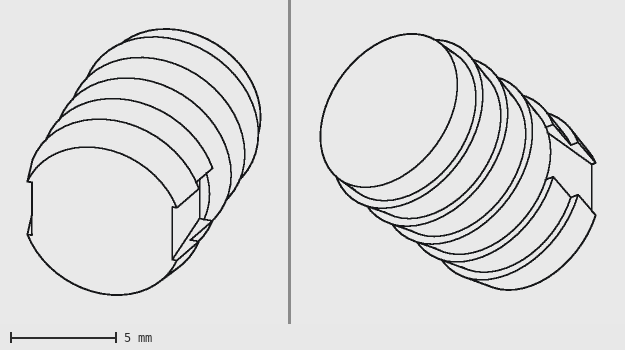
import cadquery as cq

length = 11.5
crest_diameter = 8.8
root_diameter = 8.0

barb_count = 5
barb_pitch = 2.0

notched_barbs = 2
notch_height = 2.9
width_across_notches = 7.0

crest_radius = crest_diameter / 2
root_radius = root_diameter / 2
notch_length = notched_barbs * barb_pitch


def barbed_body():
    """Solid of revolution about Y: a row of barbs and a plain cylindrical tail."""
    profile = cq.Workplane("XY").lineTo(root_radius, 0)
    for barb in range(barb_count):
        barb_end = (barb + 1) * barb_pitch
        profile = profile.lineTo(crest_radius, barb_end)
        profile = profile.lineTo(root_radius, barb_end)
    profile = profile.lineTo(root_radius, length).lineTo(0, length).close()
    return profile.revolve(360, (0, 0, 0), (0, 1, 0))


def side_notch(side):
    """Cutter for the flat-bottomed notch on the +X (side = 1) or -X (side = -1) flank."""
    floor_to_axis = width_across_notches / 2
    center_x = side * (floor_to_axis + crest_radius / 2)
    return (
        cq.Workplane("XY")
        .box(crest_radius, notch_length, notch_height)
        .translate((center_x, notch_length / 2, 0))
    )


result = barbed_body()
for side in (-1, 1):
    result = result.cut(side_notch(side))